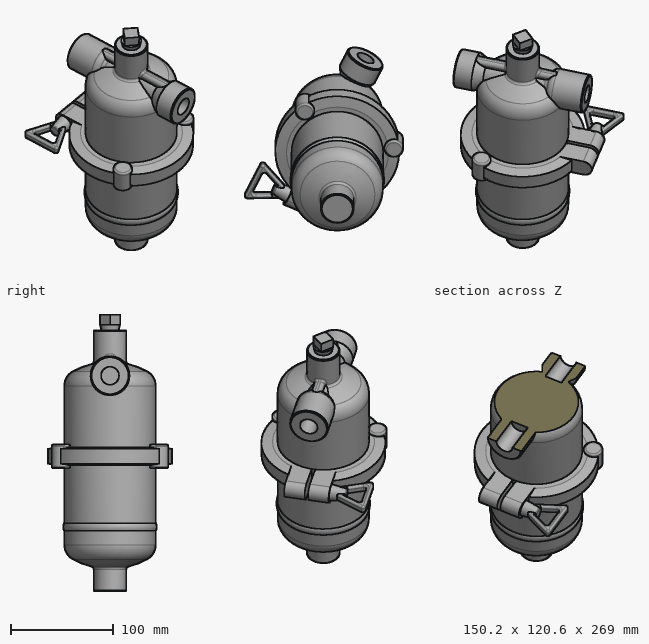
import cadquery as cq
import math

BODY_R = 89.0 / 2
KNUCKLE_R = 16.1
CROWN_R = 74.2
UPPER_TANGENT_Z = 199.5
LOWER_TANGENT_Z = 45.5

NECK_R = 32.0 / 2
NECK_TOP_Z = 254.0
NECK_FILLET = 2.7
NECK_CHAMFER = 1.0

BEAD_BOTTOM_Z = 59.0
BEAD_TOP_Z = 66.5
BEAD_HEIGHT = 1.0

TOTAL_HEIGHT = 269.0
PLUG_HEAD_Z = 259.0
PLUG_DIAGONAL = 20.0
PLUG_TOP_R = 9.7
PLUG_BOTTOM_R = 17.5 / 2

PORT_R = 38.0 / 2
PORT_END_X = 65.0
PORT_Z = 209.5
PORT_CHAMFER = 1.0
PORT_BORE_R = 17.5 / 2
PORT_BORE_DEPTH = 30.7
PASSAGE_R = 13.7
LEFT_SHOULDER_X = -34.5
LEFT_SHOULDER_R = 7.8
LEFT_BLEND_R = 4.3
RIGHT_CONE_START_X = 36.3
RIGHT_CONE_END_X = 46.5

RIB_WIDTH = 10.2
RIB_EDGE_R = 3.9
RIB_TOP_Z = PORT_Z + PORT_R
RIB_NECK_FILLET = 2.5

CLAMP_Z = 131.3
CLAMP_R = 60.3
CLAMP_HALF_EDGE = 7.3
FLANGE_R = 49.5
FLANGE_HALF = 9.0
LUG_AXIS_X = -67.5
LUG_HALF_LENGTH = 22.0
LUG_GAP = 3.5

PIN_X = 27.7
PIN_Y = 47.5
PIN_R = 9.1
PIN_HALF = 11.5
PIN_EDGE_R = 2.0

HANDLE_X = -65.0
HUB_BASE_R = 8.0
HUB_TIP_R = 5.6
HUB_TIP_Y = -37.7
HUB_EDGE_R = 1.0
LOOP_THICKNESS = 8.3
LOOP_BASE_BAR = 5.5
LOOP_HALF_BASE = 21.8
LOOP_HALF_TOP = 6.7
LOOP_TOP_Y = -29.3
LOOP_BASE_Y = -CLAMP_R
LOOP_HALF_OPENING_BASE = 14.0
LOOP_CORNER_R = 2.7
LOOP_INNER_CORNER_R = 2.5
LOOP_EDGE_R = 2.29


def domed_head(tangent_z, neck_end_z):
    """Torispherical head rising to a neck, or pointing down when the neck end lies below."""
    up = 1 if neck_end_z > tangent_z else -1
    knuckle_center_r = BODY_R - KNUCKLE_R
    crown_drop = math.sqrt((CROWN_R - KNUCKLE_R) ** 2 - knuckle_center_r ** 2)
    fillet_center_r = NECK_R + NECK_FILLET
    fillet_rise = math.sqrt((CROWN_R + NECK_FILLET) ** 2 - fillet_center_r ** 2)
    crown_edge_angle = math.atan2(crown_drop, knuckle_center_r)
    crown_neck_angle = math.atan2(fillet_rise, fillet_center_r)

    def point(r, height):
        return (r, tangent_z + up * height)

    def around(center_r, center_height, radius, angle):
        r = center_r + radius * math.cos(angle)
        return point(r, center_height + radius * math.sin(angle))

    fillet_height = fillet_rise - crown_drop
    fillet_mid_angle = math.pi + crown_neck_angle / 2
    crown_mid_angle = (crown_edge_angle + crown_neck_angle) / 2
    neck_height = abs(neck_end_z - tangent_z)
    profile = (
        cq.Workplane("XZ")
        .moveTo(0, tangent_z)
        .lineTo(BODY_R, tangent_z)
        .threePointArc(
            around(knuckle_center_r, 0, KNUCKLE_R, crown_edge_angle / 2),
            around(knuckle_center_r, 0, KNUCKLE_R, crown_edge_angle),
        )
        .threePointArc(
            around(0, -crown_drop, CROWN_R, crown_mid_angle),
            around(0, -crown_drop, CROWN_R, crown_neck_angle),
        )
        .threePointArc(
            around(fillet_center_r, fillet_height, NECK_FILLET, fillet_mid_angle),
            point(NECK_R, fillet_height),
        )
        .lineTo(*point(NECK_R, neck_height - NECK_CHAMFER))
        .lineTo(*point(NECK_R - NECK_CHAMFER, neck_height))
        .lineTo(*point(0, neck_height))
        .close()
    )
    return profile.revolve(360, (0, 0), (0, 1))


def vessel():
    bead_middle = (BODY_R + BEAD_HEIGHT, (BEAD_BOTTOM_Z + BEAD_TOP_Z) / 2)
    shell = (
        cq.Workplane("XZ")
        .moveTo(0, LOWER_TANGENT_Z)
        .lineTo(BODY_R, LOWER_TANGENT_Z)
        .lineTo(BODY_R, BEAD_BOTTOM_Z)
        .threePointArc(bead_middle, (BODY_R, BEAD_TOP_Z))
        .lineTo(BODY_R, UPPER_TANGENT_Z)
        .lineTo(0, UPPER_TANGENT_Z)
        .close()
        .revolve(360, (0, 0), (0, 1))
    )
    upper_head = domed_head(UPPER_TANGENT_Z, NECK_TOP_Z)
    lower_head = domed_head(LOWER_TANGENT_Z, 0)
    return shell.union(upper_head).union(lower_head)


def plug():
    shank = (
        cq.Workplane("XY")
        .workplane(offset=NECK_TOP_Z)
        .circle(PLUG_BOTTOM_R)
        .workplane(offset=PLUG_HEAD_Z - NECK_TOP_Z)
        .circle(PLUG_TOP_R)
        .loft()
    )
    head = (
        cq.Workplane("XY")
        .workplane(offset=PLUG_HEAD_Z)
        .polygon(4, PLUG_DIAGONAL)
        .extrude(TOTAL_HEIGHT - PLUG_HEAD_Z)
    )
    return shank.union(head)


def ports():
    """Both ports and the passage between them, as one turned body along X."""
    shoulder_center = (LEFT_SHOULDER_X, PORT_Z + PORT_R - LEFT_SHOULDER_R)
    blend_rise = PASSAGE_R + LEFT_BLEND_R - PORT_R + LEFT_SHOULDER_R
    junction_angle = math.asin(blend_rise / (LEFT_SHOULDER_R + LEFT_BLEND_R))
    blend_run = blend_rise / math.tan(junction_angle)
    blend_center = (LEFT_SHOULDER_X + blend_run, PORT_Z + PASSAGE_R + LEFT_BLEND_R)

    def on_arc(center, radius, angle):
        return (center[0] + radius * math.cos(angle), center[1] + radius * math.sin(angle))

    shoulder_mid_angle = (junction_angle + math.pi / 2) / 2
    blend_mid_angle = (math.pi + junction_angle + 3 * math.pi / 2) / 2
    return (
        cq.Workplane("XZ")
        .moveTo(-PORT_END_X, PORT_Z)
        .lineTo(-PORT_END_X, PORT_Z + PORT_R - PORT_CHAMFER)
        .lineTo(-PORT_END_X + PORT_CHAMFER, PORT_Z + PORT_R)
        .lineTo(LEFT_SHOULDER_X, PORT_Z + PORT_R)
        .threePointArc(
            on_arc(shoulder_center, LEFT_SHOULDER_R, shoulder_mid_angle),
            on_arc(shoulder_center, LEFT_SHOULDER_R, junction_angle),
        )
        .threePointArc(
            on_arc(blend_center, LEFT_BLEND_R, blend_mid_angle),
            (blend_center[0], PORT_Z + PASSAGE_R),
        )
        .lineTo(RIGHT_CONE_START_X, PORT_Z + PASSAGE_R)
        .lineTo(RIGHT_CONE_END_X, PORT_Z + PORT_R)
        .lineTo(PORT_END_X - PORT_CHAMFER, PORT_Z + PORT_R)
        .lineTo(PORT_END_X, PORT_Z + PORT_R - PORT_CHAMFER)
        .lineTo(PORT_END_X, PORT_Z)
        .close()
        .revolve(360, (0, PORT_Z), (1, PORT_Z))
    )


def port_bore(side):
    return (
        cq.Workplane("YZ", origin=(side * PORT_END_X, 0, PORT_Z))
        .circle(PORT_BORE_R)
        .extrude(-side * PORT_BORE_DEPTH)
    )


def ribs():
    """Round-topped ribs on both sides, blended into a stretch of the neck."""
    length = RIGHT_CONE_END_X - LEFT_SHOULDER_X
    height = RIB_TOP_Z - PORT_Z
    bar = (
        cq.Workplane("XY", origin=((RIGHT_CONE_END_X + LEFT_SHOULDER_X) / 2, 0, PORT_Z))
        .box(length, RIB_WIDTH, height, centered=(True, True, False))
        .edges("|X and >Z")
        .fillet(RIB_EDGE_R)
    )
    neck = (
        cq.Workplane("XY", origin=(0, 0, PORT_Z))
        .circle(NECK_R)
        .extrude(NECK_TOP_Z - NECK_CHAMFER - PORT_Z)
    )
    joint_reach = NECK_R + RIB_NECK_FILLET
    joined = bar.union(neck)
    joint = cq.selectors.BoxSelector(
        (-joint_reach, -RIB_WIDTH, PORT_Z + RIB_EDGE_R),
        (joint_reach, RIB_WIDTH, RIB_TOP_Z + RIB_NECK_FILLET),
    )
    return joined.edges(joint).fillet(RIB_NECK_FILLET)


def clamp():
    ring = (
        cq.Workplane("XZ")
        .moveTo(0, CLAMP_Z - FLANGE_HALF)
        .lineTo(FLANGE_R, CLAMP_Z - FLANGE_HALF)
        .lineTo(CLAMP_R, CLAMP_Z - CLAMP_HALF_EDGE)
        .lineTo(CLAMP_R, CLAMP_Z + CLAMP_HALF_EDGE)
        .lineTo(FLANGE_R, CLAMP_Z + FLANGE_HALF)
        .lineTo(0, CLAMP_Z + FLANGE_HALF)
        .close()
        .revolve(360, (0, 0), (0, 1))
    )
    lugs = (
        cq.Workplane("XZ")
        .moveTo(0, CLAMP_Z - FLANGE_HALF)
        .lineTo(LUG_AXIS_X, CLAMP_Z - FLANGE_HALF)
        .threePointArc((LUG_AXIS_X - FLANGE_HALF, CLAMP_Z), (LUG_AXIS_X, CLAMP_Z + FLANGE_HALF))
        .lineTo(0, CLAMP_Z + FLANGE_HALF)
        .close()
        .extrude(LUG_HALF_LENGTH, both=True)
    )
    gap_end_x = LUG_AXIS_X - FLANGE_HALF
    gap = cq.Workplane("XY", origin=(gap_end_x, 0, CLAMP_Z)).box(
        -gap_end_x - BODY_R, LUG_GAP, 2 * FLANGE_HALF, centered=(False, True, True)
    )
    return ring.union(lugs).cut(gap)


def hinge_pins():
    return (
        cq.Workplane("XY", origin=(0, 0, CLAMP_Z - PIN_HALF))
        .pushPoints([(PIN_X, PIN_Y), (PIN_X, -PIN_Y)])
        .circle(PIN_R)
        .extrude(2 * PIN_HALF)
        .edges("%CIRCLE")
        .fillet(PIN_EDGE_R)
    )


def loop_prism(half_base, base_y, half_top, top_y, corner_r):
    """Trapezoid as thick as the loop, with its two corners at the base rounded."""
    corners = [(-half_base, base_y), (half_base, base_y), (half_top, top_y), (-half_top, top_y)]
    return (
        cq.Workplane("XY", origin=(HANDLE_X, 0, CLAMP_Z - LOOP_THICKNESS / 2))
        .polyline(corners)
        .close()
        .extrude(LOOP_THICKNESS)
        .edges("|Z and <Y")
        .fillet(corner_r)
    )


def wing_nut():
    hub = (
        cq.Workplane("XZ", origin=(HANDLE_X, -LUG_HALF_LENGTH, CLAMP_Z))
        .circle(HUB_BASE_R)
        .workplane(offset=-HUB_TIP_Y - LUG_HALF_LENGTH)
        .circle(HUB_TIP_R)
        .loft()
        .faces("<Y")
        .edges()
        .fillet(HUB_EDGE_R)
    )
    plate = loop_prism(LOOP_HALF_BASE, LOOP_BASE_Y, LOOP_HALF_TOP, LOOP_TOP_Y, LOOP_CORNER_R)
    opening = loop_prism(
        LOOP_HALF_OPENING_BASE, LOOP_BASE_Y + LOOP_BASE_BAR, HUB_TIP_R, HUB_TIP_Y, LOOP_INNER_CORNER_R
    )
    loop = plate.cut(opening).faces("<Z or >Z").edges().fillet(LOOP_EDGE_R)
    return hub.union(loop)


result = vessel().union(plug()).union(ports()).union(ribs())
result = result.union(clamp()).union(hinge_pins()).union(wing_nut())
for port_side in (-1, 1):
    result = result.cut(port_bore(port_side))